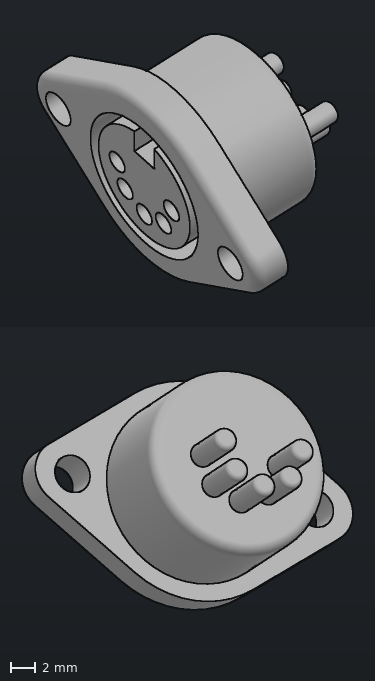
import cadquery as cq
import math


flange_thickness = 3.4
flange_length = 29.0
flange_height = 19.0
flange_tip_radius = 2.8
flange_edge_fillet = 1.0
opening_diameter = 13.9
screw_hole_diameter = 3.2
screw_hole_spacing = 22.2

barrel_diameter = 16.0
barrel_length = 9.0
barrel_edge_fillet = 1.0

insert_diameter = 11.8
key_width = 2.54
key_bottom_height = 3.3

pin_count = 5
pin_diameter = 2.0
pin_length = 5.0
pin_tip_fillet = 0.5
pin_circle_radius = 3.5
pin_arc_start = 180.0
pin_arc_sweep = 180.0

pin_step = pin_arc_sweep / (pin_count - 1)
pin_angles = [math.radians(pin_arc_start + i * pin_step) for i in range(pin_count)]
pin_centers = [
    (pin_circle_radius * math.cos(angle), pin_circle_radius * math.sin(angle))
    for angle in pin_angles
]


def plane_at(y):
    """Work plane at depth y, with local axes X and Z; positive extrusion runs toward -Y."""
    return cq.Workplane("XZ", origin=(0, y, 0))


def rod(y_start, length, diameter, centers=((0, 0),)):
    """Round bars along +Y, one at each (x, z) center."""
    return plane_at(y_start).pushPoints(centers).circle(diameter / 2).extrude(-length)


def flange_outline():
    """Rounded rhombus: top and bottom arcs about the axis, tangent to smaller tip arcs."""
    half_length = flange_length / 2
    half_height = flange_height / 2
    tip_center = half_length - flange_tip_radius
    tangent_sin = (half_height - flange_tip_radius) / tip_center
    tangent_cos = math.sqrt(1 - tangent_sin**2)
    side_x = half_height * tangent_sin
    side_z = half_height * tangent_cos
    tip_x = tip_center + flange_tip_radius * tangent_sin
    tip_z = flange_tip_radius * tangent_cos
    return (
        plane_at(0)
        .moveTo(-side_x, side_z)
        .threePointArc((0, half_height), (side_x, side_z))
        .lineTo(tip_x, tip_z)
        .threePointArc((half_length, 0), (tip_x, -tip_z))
        .lineTo(side_x, -side_z)
        .threePointArc((0, -half_height), (-side_x, -side_z))
        .lineTo(-tip_x, -tip_z)
        .threePointArc((-half_length, 0), (-tip_x, tip_z))
        .close()
    )


def make_flange():
    """Plate with a rounded front edge, the socket opening and two screw holes."""
    plate = flange_outline().extrude(-flange_thickness)
    plate = plate.faces("<Y").edges().fillet(flange_edge_fillet)
    opening = rod(0, flange_thickness, opening_diameter)
    screw_centers = [(side * screw_hole_spacing / 2, 0) for side in (-1, 1)]
    screw_holes = rod(0, flange_thickness, screw_hole_diameter, screw_centers)
    return plate.cut(opening).cut(screw_holes)


def make_insert():
    """Disc as thick as the flange, with a key slot open at the top and the contact holes."""
    disc = rod(0, flange_thickness, insert_diameter)
    key_height = opening_diameter / 2 - key_bottom_height
    key_slot = (
        plane_at(0)
        .center(0, key_bottom_height + key_height / 2)
        .rect(key_width, key_height)
        .extrude(-flange_thickness)
    )
    contact_holes = rod(0, flange_thickness, pin_diameter, pin_centers)
    return disc.cut(key_slot).cut(contact_holes)


def make_barrel():
    """Round body behind the flange, with a rounded rear edge and round-tipped pins."""
    barrel = rod(flange_thickness, barrel_length, barrel_diameter)
    barrel = barrel.faces(">Y").edges().fillet(barrel_edge_fillet)
    barrel_rear = flange_thickness + barrel_length
    pins = rod(barrel_rear, pin_length, pin_diameter, pin_centers)
    pins = pins.faces(">Y").edges().fillet(pin_tip_fillet)
    return barrel.union(pins)


flange = make_flange()
insert = make_insert()
barrel_with_pins = make_barrel()

bodies = [body.solids().val() for body in (flange, insert, barrel_with_pins)]
result = cq.Compound.makeCompound(bodies)